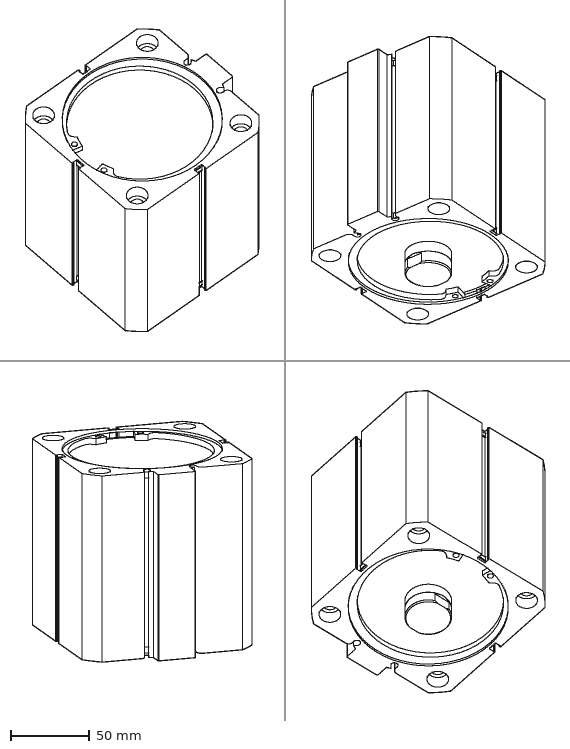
import cadquery as cq
import math

TOTAL_HEIGHT = 132.5
ROD_STICK_OUT = 10.0
HOUSING_HEIGHT = TOTAL_HEIGHT - ROD_STICK_OUT
HOUSING_WIDTH = 115.0
HALF_WIDTH = HOUSING_WIDTH / 2
CORNER_CUT = 10.1
BORE_RADIUS = 51.0

RAIL_WIDTH = 25.5
RAIL_RISE = 9.0
RAIL_CHAMFER = 0.5
GROOVE_RADIUS = 2.3
GROOVE_X = 15.5
GROOVE_DEPTH = 4.8
GROOVE_LIP_RADIUS = 3.3
TOOTH_X = 15.5
TOOTH_DEPTH = 1.5

SLOT_MOUTH_WIDTH = 5.0
SLOT_MOUTH_CHAMFER = 0.4
SLOT_INNER_WIDTH = 6.4
SLOT_LIP = 1.0
SLOT_DEPTH = 4.5

HOLE_SPACING = 89.0
HOLE_DIAMETER = 8.7
COUNTERBORE_DIAMETER = 13.8
COUNTERBORE_DEPTH = 9.0

RING_INSET = 1.7
RING_THICKNESS = 4.0
RING_OUTER_RADIUS = 53.5
RING_INNER_RADIUS = 46.6
RING_INNER_SHIFT = 2.1
LOWER_RING_TURN = 0.0
UPPER_RING_TURN = -0.6
LUG_INNER_RADIUS = 43.5
LUG_GAP_ANGLE = 12.9
LUG_BACK_ANGLE = 23.7
LUG_BACK_SLOPE = 43.0
LUG_FILLET = 4.0
PLIER_HOLE_RADIUS = 47.3
PLIER_HOLE_ANGLE = 17.5
PLIER_HOLE_DIAMETER = 3.7

COVER_THICKNESS = 15.9

ROD_RADIUS = 15.0
ROD_END_STEP = 0.07
ROD_END_RADIUS = ROD_RADIUS - ROD_END_STEP
ROD_SHOULDER_DROP = 1.7
ROD_TIP_CHAMFER_HEIGHT = 1.0
ROD_TIP_CHAMFER_WIDTH = 0.7
ROD_FLATS_WIDTH = 27.5
ROD_FLATS_LENGTH = 7.3

LOWER_RING_Z = RING_INSET
UPPER_RING_Z = HOUSING_HEIGHT - RING_INSET - RING_THICKNESS
LOWER_COVER_Z = LOWER_RING_Z + RING_THICKNESS
UPPER_COVER_Z = UPPER_RING_Z - COVER_THICKNESS


def cylinder(radius, z, height):
    return cq.Workplane("XY").workplane(offset=z).circle(radius).extrude(height)


def polar(radius, degrees):
    angle = math.radians(degrees)
    return (radius * math.cos(angle), radius * math.sin(angle))


def square_with_round_corners():
    """Square prism whose corners lie on a circle around the axis."""
    corner_radius = math.hypot(HALF_WIDTH, HALF_WIDTH - CORNER_CUT)
    square = cq.Workplane("XY").rect(HOUSING_WIDTH, HOUSING_WIDTH).extrude(HOUSING_HEIGHT)
    return square.intersect(cylinder(corner_radius, 0, HOUSING_HEIGHT))


def rail():
    """Rail on the +Y side, rooted at the depth of the keyhole grooves."""
    height = RAIL_RISE + GROOVE_DEPTH
    return (
        cq.Workplane("XY")
        .center(0, HALF_WIDTH + RAIL_RISE - height / 2)
        .rect(RAIL_WIDTH, height)
        .extrude(HOUSING_HEIGHT)
        .edges("|Z and >Y")
        .chamfer(RAIL_CHAMFER)
    )


def keyhole_groove():
    """Cutter for the groove on the +X side of the rail."""
    top = HALF_WIDTH
    centre_y = top - GROOVE_DEPTH
    wall_x = GROOVE_X + GROOVE_RADIUS
    diagonal = GROOVE_RADIUS * math.sqrt(0.5)
    lip_end_x = wall_x + GROOVE_LIP_RADIUS
    lip_bend = GROOVE_LIP_RADIUS * (1 - math.sqrt(0.5))
    return (
        cq.Workplane("XY")
        .moveTo(RAIL_WIDTH / 2, top)
        .lineTo(TOOTH_X, top - TOOTH_DEPTH)
        .lineTo(GROOVE_X - diagonal, centre_y + diagonal)
        .threePointArc((GROOVE_X - diagonal, centre_y - diagonal), (GROOVE_X, centre_y - GROOVE_RADIUS))
        .threePointArc((GROOVE_X + diagonal, centre_y - diagonal), (wall_x, centre_y))
        .lineTo(wall_x, top - GROOVE_LIP_RADIUS)
        .threePointArc((wall_x + lip_bend, top - lip_bend), (lip_end_x, top))
        .close()
        .extrude(HOUSING_HEIGHT)
    )


def sensor_slot():
    """Cutter for the T-shaped slot in the -Y side."""
    half_mouth = SLOT_MOUTH_WIDTH / 2
    half_opening = half_mouth + SLOT_MOUTH_CHAMFER
    mouth = (
        cq.Workplane("XY")
        .polyline([
            (-half_opening, -HALF_WIDTH),
            (half_opening, -HALF_WIDTH),
            (half_mouth, -HALF_WIDTH + SLOT_MOUTH_CHAMFER),
            (half_mouth, -HALF_WIDTH + SLOT_DEPTH),
            (-half_mouth, -HALF_WIDTH + SLOT_DEPTH),
            (-half_mouth, -HALF_WIDTH + SLOT_MOUTH_CHAMFER),
        ])
        .close()
        .extrude(HOUSING_HEIGHT)
    )
    inner_depth = SLOT_DEPTH - SLOT_LIP
    inner = (
        cq.Workplane("XY")
        .center(0, -HALF_WIDTH + SLOT_LIP + inner_depth / 2)
        .rect(SLOT_INNER_WIDTH, inner_depth)
        .extrude(HOUSING_HEIGHT)
    )
    return mouth.union(inner)


def mounting_holes():
    """Cutter for the four through holes and their counterbores."""
    corners = cq.Workplane("XY").rect(HOLE_SPACING, HOLE_SPACING, forConstruction=True).vertices()
    holes = corners.circle(HOLE_DIAMETER / 2).extrude(HOUSING_HEIGHT)
    counterbores = corners.circle(COUNTERBORE_DIAMETER / 2).extrude(COUNTERBORE_DEPTH)
    upper_counterbores = counterbores.translate((0, 0, HOUSING_HEIGHT - COUNTERBORE_DEPTH))
    return holes.union(counterbores).union(upper_counterbores)


def make_housing():
    housing = square_with_round_corners()
    groove = keyhole_groove()
    housing = housing.cut(groove).cut(groove.mirror("YZ")).union(rail())
    for angle in (-90, 0, 90):
        slot = sensor_slot().rotate((0, 0, 0), (0, 0, 1), angle)
        housing = housing.cut(slot)
    housing = housing.cut(mounting_holes())
    housing = housing.cut(cylinder(BORE_RADIUS, 0, HOUSING_HEIGHT))
    for z in (LOWER_RING_Z, UPPER_RING_Z):
        housing = housing.cut(cylinder(RING_OUTER_RADIUS, z, RING_THICKNESS))
    return housing


def ring_lug():
    """Lug on the +X side of the ring's gap, reaching out to the ring's outer edge."""
    gap_direction = LUG_GAP_ANGLE - 90
    back_direction = LUG_BACK_ANGLE - 90
    back_x, back_y = polar(LUG_INNER_RADIUS, back_direction)
    back_length = RING_OUTER_RADIUS - RING_INNER_RADIUS
    back_dx, back_dy = polar(back_length, -LUG_BACK_SLOPE)
    return (
        cq.Workplane("XY")
        .moveTo(*polar(RING_OUTER_RADIUS, gap_direction))
        .lineTo(*polar(LUG_INNER_RADIUS, gap_direction))
        .threePointArc(polar(LUG_INNER_RADIUS, (gap_direction + back_direction) / 2), (back_x, back_y))
        .lineTo(back_x + back_dx, back_y + back_dy)
        .close()
        .extrude(RING_THICKNESS)
    )


def make_ring(z, turn):
    """Open ring with an eccentric inner circle and a drilled lug on each side of its gap."""
    outer = cylinder(RING_OUTER_RADIUS, 0, RING_THICKNESS)
    inner = cylinder(RING_INNER_RADIUS, 0, RING_THICKNESS).translate((0, -RING_INNER_SHIFT, 0))
    lug = ring_lug()
    ring = outer.cut(inner).union(lug).union(lug.mirror("YZ"))

    reach = 2 * RING_OUTER_RADIUS
    gap = (
        cq.Workplane("XY")
        .polyline([(0, 0), polar(reach, LUG_GAP_ANGLE - 90), polar(reach, -LUG_GAP_ANGLE - 90)])
        .close()
        .extrude(RING_THICKNESS)
    )
    ring = ring.cut(gap)

    start_x, start_y = polar(LUG_INNER_RADIUS, LUG_BACK_ANGLE - 90)
    step_x, step_y = polar(1, -LUG_BACK_SLOPE)
    along = start_x * step_x + (start_y + RING_INNER_SHIFT) * step_y
    short_by = RING_INNER_RADIUS**2 - start_x**2 - (start_y + RING_INNER_SHIFT) ** 2
    run = -along + math.sqrt(along**2 + short_by)
    for side in (1, -1):
        corner = (side * (start_x + run * step_x), start_y + run * step_y, RING_THICKNESS / 2)
        ring = ring.edges(cq.NearestToPointSelector(corner)).fillet(LUG_FILLET)

        hole_x, hole_y = polar(PLIER_HOLE_RADIUS, PLIER_HOLE_ANGLE - 90)
        hole = cylinder(PLIER_HOLE_DIAMETER / 2, 0, RING_THICKNESS).translate((side * hole_x, hole_y, 0))
        ring = ring.cut(hole)
    return ring.rotate((0, 0, 0), (0, 0, 1), turn).translate((0, 0, z))


def make_upper_cover():
    return cylinder(BORE_RADIUS, UPPER_COVER_Z, COVER_THICKNESS)


def make_lower_cover():
    cover = cylinder(BORE_RADIUS, LOWER_COVER_Z, COVER_THICKNESS)
    return cover.cut(cylinder(ROD_RADIUS, LOWER_COVER_Z, COVER_THICKNESS))


def make_piston_rod():
    """Rod from its tip below the housing up to the underside of the upper cover."""
    rod = (
        cq.Workplane("XZ")
        .polyline([
            (0, -ROD_STICK_OUT),
            (ROD_END_RADIUS - ROD_TIP_CHAMFER_WIDTH, -ROD_STICK_OUT),
            (ROD_END_RADIUS, -ROD_STICK_OUT + ROD_TIP_CHAMFER_HEIGHT),
            (ROD_END_RADIUS, -ROD_SHOULDER_DROP),
            (ROD_RADIUS, -ROD_SHOULDER_DROP),
            (ROD_RADIUS, UPPER_COVER_Z),
            (0, UPPER_COVER_Z),
        ])
        .close()
        .revolve(360, (0, 0), (0, 1))
    )

    flat_y = ROD_FLATS_WIDTH / 2
    flat_top = -ROD_STICK_OUT + ROD_FLATS_LENGTH
    run_out = ROD_RADIUS - flat_y
    flat_cut = (
        cq.Workplane("YZ")
        .polyline([
            (flat_y, -ROD_STICK_OUT),
            (flat_y, flat_top),
            (ROD_RADIUS, flat_top + run_out),
            (ROD_RADIUS, -ROD_STICK_OUT),
        ])
        .close()
        .extrude(ROD_RADIUS, both=True)
    )
    return rod.cut(flat_cut).cut(flat_cut.mirror("XZ"))


housing = make_housing()
ring_places = ((LOWER_RING_Z, LOWER_RING_TURN), (UPPER_RING_Z, UPPER_RING_TURN))
rings = [make_ring(z, turn) for z, turn in ring_places]
upper_cover = make_upper_cover()
lower_cover = make_lower_cover()
piston_rod = make_piston_rod()

result = cq.Compound.makeCompound([
    housing.val(),
    *[ring.val() for ring in rings],
    upper_cover.val(),
    lower_cover.val(),
    piston_rod.val(),
])